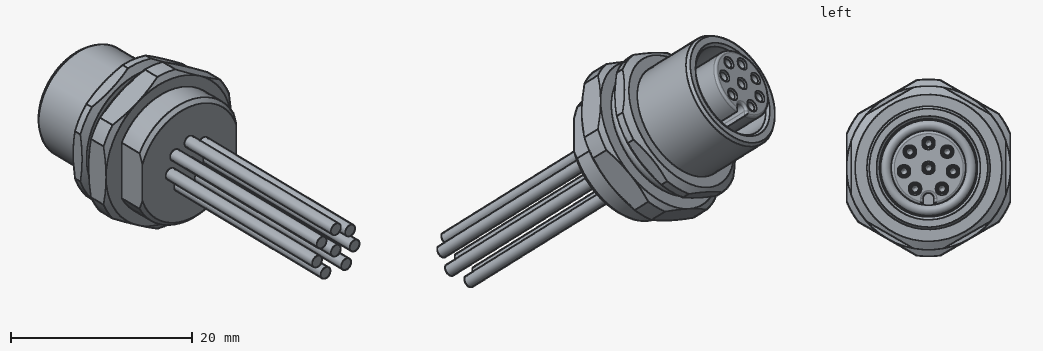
import cadquery as cq
import math


overall_length = 44.6
shell_front = 1.5
nut_thickness = 2.0
flange_front = 13.05
flange_thickness = 3.0
rear_boss_length = 3.52
cavity_floor = 8.9

shell_radius = 6.8
shell_chamfer_length = 0.4
shell_chamfer_depth = 0.25
bore_radius = 5.4
bore_chamfer = 0.3

insert_radius = 4.1
insert_edge_radius = 0.3
keyway_half_width = 0.6
keyway_top_offset = 2.75

contact_circle_radius = 2.7
contact_spacing_angle = 49.0
contact_steps_from_top = range(-3, 4)
contact_entry_radius = 0.55
contact_entry_chamfer = 0.2
contact_entry_depth = 0.9
contact_bore_radius = 0.4
contact_bore_depth = 3.55
wire_radius = 0.7

panel_seal_cord = 1.45
panel_seal_outer_radius = 7.8
cavity_seal_cord = 1.15

flange_across_flats = 18.0
flange_across_corners = 19.5
nut_across_flats = 17.0
nut_corner_radius = 9.0
nut_face_radius = 8.07
hex_sides = 6
corner_direction = 90.0
hex_chamfer_angle = 30.0

rear_boss_radius = 7.63
rear_boss_across_flats = 13.5
rear_boss_chamfer = 0.5

flange_back = flange_front + flange_thickness
body_back = flange_back + rear_boss_length
nut_back = flange_front - panel_seal_cord
nut_front = nut_back - nut_thickness
contact_centres = [(0.0, 0.0)] + [
    (
        contact_circle_radius * math.sin(math.radians(step * contact_spacing_angle)),
        contact_circle_radius * math.cos(math.radians(step * contact_spacing_angle)),
    )
    for step in contact_steps_from_top
]


def cross_section(x):
    """Workplane across the axis at x, with local axes Y and Z and its normal along +X."""
    return cq.Workplane("YZ", origin=(x, 0, 0))


def cylinder(start, end, radius):
    return cross_section(start).circle(radius).extrude(end - start)


def turned(points):
    """Solid turned about the X axis from (x, radius) points."""
    return cq.Workplane("XY").polyline(points).close().revolve(360, (0, 0, 0), (1, 0, 0))


def seal_ring(x, ring_radius, cord_radius):
    """Full torus around the X axis."""
    return (
        cq.Workplane("XY")
        .center(x, ring_radius)
        .circle(cord_radius)
        .revolve(360, (0, -ring_radius, 0), (1, -ring_radius, 0))
    )


def chamfered_hexagon(start, thickness, across_flats, corner_radius, face_radius):
    """Hexagon with flats on +Y and -Y, its corners turned and chamfered on both faces."""
    end = start + thickness
    chamfer_length = (corner_radius - face_radius) * math.tan(math.radians(hex_chamfer_angle))
    across_corners = across_flats / math.cos(math.pi / hex_sides)
    hexagon = (
        cross_section(start)
        .polygon(hex_sides, across_corners)
        .extrude(thickness)
        .rotate((0, 0, 0), (1, 0, 0), corner_direction)
    )
    turned_envelope = turned(
        [
            (start, 0),
            (start, face_radius),
            (start + chamfer_length, corner_radius),
            (end - chamfer_length, corner_radius),
            (end, face_radius),
            (end, 0),
        ]
    )
    return hexagon.intersect(turned_envelope)


def make_shell():
    """Threaded sleeve up to the flange, open at the front around the contact insert."""
    sleeve = turned(
        [
            (shell_front, 0),
            (shell_front, shell_radius - shell_chamfer_depth),
            (shell_front + shell_chamfer_length, shell_radius),
            (flange_front, shell_radius),
            (flange_front, 0),
        ]
    )
    cavity = turned(
        [
            (shell_front, 0),
            (shell_front, bore_radius + bore_chamfer),
            (shell_front + bore_chamfer, bore_radius),
            (cavity_floor, bore_radius),
            (cavity_floor, 0),
        ]
    )
    return sleeve.cut(cavity)


def make_keyway():
    """Round-topped slot reaching out through the bottom of the insert."""
    arc_centre = -keyway_top_offset - keyway_half_width
    return (
        cross_section(0)
        .moveTo(-keyway_half_width, -bore_radius)
        .lineTo(-keyway_half_width, arc_centre)
        .threePointArc((0, -keyway_top_offset), (keyway_half_width, arc_centre))
        .lineTo(keyway_half_width, -bore_radius)
        .close()
        .extrude(cavity_floor)
    )


def make_contact_hole():
    """Chamfered entry, narrower bore and drill-point bottom, on the X axis."""
    bore_end = contact_entry_depth + contact_bore_depth
    return turned(
        [
            (0, 0),
            (0, contact_entry_radius + contact_entry_chamfer),
            (contact_entry_chamfer, contact_entry_radius),
            (contact_entry_depth, contact_entry_radius),
            (contact_entry_depth, contact_bore_radius),
            (bore_end, contact_bore_radius),
            (bore_end + contact_bore_radius, 0),
        ]
    )


def make_insert():
    """Contact carrier standing on the cavity floor."""
    insert = cylinder(0, cavity_floor, insert_radius).cut(make_keyway())
    insert = insert.faces("<X").edges().fillet(insert_edge_radius)
    contact_hole = make_contact_hole()
    for y, z in contact_centres:
        insert = insert.cut(contact_hole.translate((0, y, z)))
    return insert


def make_rear_boss():
    """Round boss behind the flange with flats on +Y and -Y."""
    boss = cylinder(flange_back, body_back, rear_boss_radius).faces(">X").edges().chamfer(rear_boss_chamfer)
    flats = cross_section(flange_back).rect(rear_boss_across_flats, 2 * rear_boss_radius)
    return boss.intersect(flats.extrude(rear_boss_length))


def make_connector():
    """Shell, insert, seals, hexagon flange, rear boss and wires as one body."""
    panel_seal_radius = panel_seal_outer_radius - panel_seal_cord / 2
    cavity_seal_radius = insert_radius + cavity_seal_cord / 2
    connector = (
        make_shell()
        .union(
            chamfered_hexagon(
                flange_front,
                flange_thickness,
                flange_across_flats,
                flange_across_corners / 2,
                flange_across_flats / 2,
            )
        )
        .union(make_rear_boss())
        .union(make_insert())
        .union(seal_ring(flange_front - panel_seal_cord / 2, panel_seal_radius, panel_seal_cord / 2))
        .union(seal_ring(cavity_floor, cavity_seal_radius, cavity_seal_cord / 2))
    )
    for y, z in contact_centres:
        wire = cylinder(body_back, overall_length, wire_radius).translate((0, y, z))
        connector = connector.union(wire)
    return connector


def make_nut():
    """Hexagon nut running on the shell, bearing against the panel seal."""
    nut = chamfered_hexagon(
        nut_front, nut_thickness, nut_across_flats, nut_corner_radius, nut_face_radius
    )
    return nut.cut(cylinder(nut_front, nut_back, shell_radius))


connector = make_connector()
nut = make_nut()

result = cq.Compound.makeCompound([connector.val(), nut.val()])